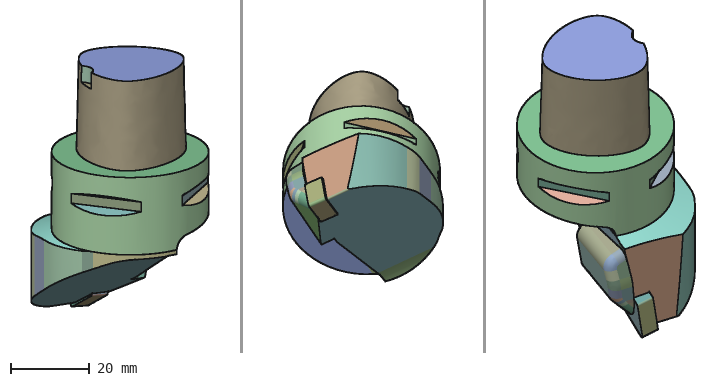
import cadquery as cq
import math

flange_diameter = 40.0
flange_radius = flange_diameter / 2
flange_height = 20.9

shank_height = 24.0
shank_mean_radius = 14.0
shank_lobe_offset = 0.95
shank_taper = 0.6
shank_points = 48

notch_width = 6.1
notch_depth = 1.7
notch_height = 4.4
notch_radius = ((notch_width / 2) ** 2 + notch_depth**2) / (2 * notch_depth)

groove_count = 4
groove_floor_distance = 17.6
groove_floor_height = 2.6
groove_mouth_height = 5.25
groove_mid_z = -8.0

relief_outer_z = -16.1
relief_slope = 0.11
relief_radius = 3.55
front_face_y = 4.1

head_bottom_z = -53.3
head_left_x = -25.45
head_back_y = -22.4
head_rim_radius = flange_radius - 0.1
heel_start_y = -10.1
heel_middle = (-20.65, -17.0)
heel_end = (-14.0, -21.25)
heel_blend_middle = (-11.85, -22.05)
back_flat_start_x = -9.6
back_flat_end_x = -3.8
back_arc_middle = (3.55, -21.4)
back_arc_end = (9.85, -18.05)
rim_start_x = 12.0
shoulder_slope = 0.31
shoulder_reach = 11.1
side_top_x = -24.05
side_top_z = -22.95
side_lean = 0.053
diagonal_x = -14.0
diagonal_z = -41.45
diagonal_slope = 0.612
underside_flat_z = -22.05
underside_blend = 8.9
tip_radius = 0.4

insert_corner_x = -27.15
insert_corner_y = 0.15
insert_corner_z = -50.55
insert_side = 11.4
insert_side_angle = 87.3
insert_point_angle = 55.0
insert_thickness = 4.7
insert_nose_radius = 0.6
rake_x_slope = 0.103
rake_z_slope = 0.118

clamp_brow = (9.5, -25.1)
clamp_chin = (7.6, -37.45)
clamp_root_y = -1.5
clamp_top_root_z = -21.45
clamp_bottom_root_z = -48.8
clamp_cheek = (-25.9, -31.8)
clamp_jaw = (-25.3, -38.5)
clamp_top_corner = (-22.2, -14.8)
clamp_bottom_corner = (-22.6, -51.8)
clamp_right_x = -7.4
clamp_edge_radius = 2.6
clamp_profile_radius = 3.7
clamp_cheek_radius = 11.1

oversize = 74.0


def lobed_wire(mean_radius, z):
    """Closed curve whose support distance is mean_radius + lobe_offset * cos(3a)."""
    points = []
    for i in range(shank_points):
        a = 2 * math.pi * i / shank_points
        support = mean_radius + shank_lobe_offset * math.cos(3 * a)
        slope = -3 * shank_lobe_offset * math.sin(3 * a)
        across = support * math.sin(a) + slope * math.cos(a)
        along = support * math.cos(a) - slope * math.sin(a)
        points.append(cq.Vector(across, along, z))
    return cq.Wire.assembleEdges([cq.Edge.makeSpline(points, periodic=True)])


def make_shank():
    base = lobed_wire(shank_mean_radius, 0)
    top = lobed_wire(shank_mean_radius - shank_taper, shank_height)
    shank = cq.Workplane(cq.Solid.makeLoft([base, top], True))
    flat_y = -(shank_mean_radius - shank_taper - shank_lobe_offset)
    floor_z = shank_height - notch_height
    notch = (
        cq.Workplane("XY", origin=(0, flat_y + notch_depth - notch_radius, floor_z))
        .circle(notch_radius)
        .extrude(notch_height)
    )
    return shank.cut(notch)


def make_groove(angle):
    half_floor = groove_floor_height / 2
    half_mouth = groove_mouth_height / 2
    return (
        cq.Workplane("XZ")
        .moveTo(groove_floor_distance, -half_floor)
        .lineTo(flange_radius, -half_mouth)
        .lineTo(flange_radius, half_mouth)
        .lineTo(groove_floor_distance, half_floor)
        .close()
        .extrude(flange_radius, both=True)
        .translate((0, 0, groove_mid_z))
        .rotate((0, 0, 0), (0, 0, 1), angle)
    )


def make_relief():
    corner_z = relief_outer_z - relief_slope * (flange_radius - front_face_y)
    corner = cq.selectors.NearestToPointSelector((0, front_face_y, corner_z))
    return (
        cq.Workplane("YZ")
        .moveTo(front_face_y, corner_z)
        .lineTo(flange_radius, relief_outer_z)
        .lineTo(flange_radius, -oversize)
        .lineTo(front_face_y, -oversize)
        .close()
        .extrude(oversize, both=True)
        .edges("|X")
        .edges(corner)
        .fillet(relief_radius)
    )


def make_flange():
    flange = cq.Workplane("XY").circle(flange_radius).extrude(-flange_height)
    for i in range(groove_count):
        flange = flange.cut(make_groove(45 + i * 360 / groove_count))
    return flange.cut(make_relief())


def diagonal_at(x):
    """Z of the sloping underside at a given X."""
    return diagonal_z + diagonal_slope * (x - diagonal_x)


def make_underside_envelope():
    """Everything above the sloping underside and to the right of the leaning -X face."""
    upper_x = side_top_x - side_lean * side_top_z
    tip_x = (upper_x + side_lean * diagonal_at(0)) / (1 - side_lean * diagonal_slope)
    flat_x = diagonal_x + (underside_flat_z - diagonal_z) / diagonal_slope
    envelope = (
        cq.Workplane("XZ")
        .moveTo(upper_x, 0)
        .lineTo(tip_x, diagonal_at(tip_x))
        .lineTo(flat_x, underside_flat_z)
        .lineTo(oversize, underside_flat_z)
        .lineTo(oversize, 0)
        .close()
        .extrude(oversize, both=True)
    )
    envelope = envelope.edges("|Y and <Z").fillet(tip_radius)
    bend = cq.selectors.NearestToPointSelector((flat_x, 0, underside_flat_z))
    return envelope.edges("|Y").edges(bend).fillet(underside_blend)


def make_shoulder_envelope():
    """Conical shoulder that falls away from the lower rim of the flange."""
    outer_radius = flange_radius + shoulder_reach
    return (
        cq.Workplane("XZ")
        .moveTo(0, -flange_height)
        .lineTo(flange_radius, -flange_height)
        .lineTo(outer_radius, -flange_height - shoulder_slope * shoulder_reach)
        .lineTo(outer_radius, head_bottom_z)
        .lineTo(0, head_bottom_z)
        .close()
        .revolve(360, (0, 0, 0), (0, 1, 0))
    )


def rake_plane():
    """Plane of the rake face, its normal pointing into the insert."""
    corner = (insert_corner_x, insert_corner_y, insert_corner_z)
    return cq.Plane(
        origin=corner,
        xDir=(1, rake_x_slope, 0),
        normal=(rake_x_slope, -1, rake_z_slope),
    )


def make_head():
    front_x = math.sqrt(head_rim_radius**2 - front_face_y**2)
    rim_y = -math.sqrt(head_rim_radius**2 - rim_start_x**2)
    outline = (
        cq.Workplane("XY", origin=(0, 0, -flange_height))
        .moveTo(front_x, front_face_y)
        .lineTo(head_left_x, front_face_y)
        .lineTo(head_left_x, heel_start_y)
        .threePointArc(heel_middle, heel_end)
        .threePointArc(heel_blend_middle, (back_flat_start_x, head_back_y))
        .lineTo(back_flat_end_x, head_back_y)
        .threePointArc(back_arc_middle, back_arc_end)
        .lineTo(rim_start_x, rim_y)
        .threePointArc((head_rim_radius, 0), (front_x, front_face_y))
        .close()
    )
    head = outline.extrude(head_bottom_z + flange_height)
    head = head.intersect(make_shoulder_envelope())
    head = head.intersect(make_underside_envelope())
    return head.cut(cq.Workplane(rake_plane()).rect(oversize, oversize).extrude(-oversize))


def make_clamp():
    """Raised clamp: a side profile crossed with a front profile, its front rim rounded."""
    top_root = (clamp_root_y, clamp_top_root_z)
    bottom_root = (clamp_root_y, clamp_bottom_root_z)
    side = (
        cq.Workplane("YZ")
        .polyline([top_root, clamp_brow, clamp_chin, bottom_root])
        .close()
        .extrude(oversize, both=True)
    )
    for y, z in (clamp_brow, clamp_chin):
        side = side.edges(cq.selectors.NearestToPointSelector((0, y, z))).fillet(clamp_profile_radius)
    upper_right = (clamp_right_x, clamp_top_corner[1])
    lower_right = (clamp_right_x, clamp_bottom_corner[1])
    front = (
        cq.Workplane("XZ")
        .polyline([clamp_top_corner, clamp_cheek, clamp_jaw, clamp_bottom_corner, lower_right, upper_right])
        .close()
        .extrude(oversize, both=True)
    )
    for x, z in (clamp_cheek, clamp_jaw):
        front = front.edges(cq.selectors.NearestToPointSelector((x, 0, z))).fillet(clamp_cheek_radius)
    clamp = side.intersect(front)
    clear_y = clamp_root_y + 0.4
    rim = cq.selectors.BoxSelector((-oversize, clear_y, -oversize), (clamp_right_x - 0.75, oversize, oversize))
    clamp = clamp.edges("not #X").edges("not |Y").edges(rim).fillet(clamp_edge_radius)
    underside_start = (-oversize, diagonal_at(-oversize))
    underside_end = (0, diagonal_at(0))
    below = (
        cq.Workplane("XZ")
        .polyline([underside_start, underside_end, (0, diagonal_at(-oversize))])
        .close()
        .extrude(oversize, both=True)
    )
    clamp = clamp.cut(below)
    return clamp.cut(cq.Workplane(rake_plane()).rect(oversize, oversize).extrude(oversize))


def make_insert():
    left = math.radians(insert_side_angle)
    low = math.radians(insert_side_angle - insert_point_angle)
    left_end = (insert_side * math.cos(left), insert_side * math.sin(left))
    low_end = (insert_side * math.cos(low), insert_side * math.sin(low))
    far_end = (left_end[0] + low_end[0], left_end[1] + low_end[1])
    insert = (
        cq.Workplane(rake_plane())
        .polyline([(0, 0), low_end, far_end, left_end])
        .close()
        .extrude(insert_thickness)
    )
    corners = cq.selectors.ParallelDirSelector(rake_plane().zDir)
    return insert.edges(corners).fillet(insert_nose_radius)


insert = make_insert()
holder = make_flange().union(make_shank()).union(make_head()).union(make_clamp()).cut(insert)

result = cq.Compound.makeCompound([holder.val(), insert.val()])